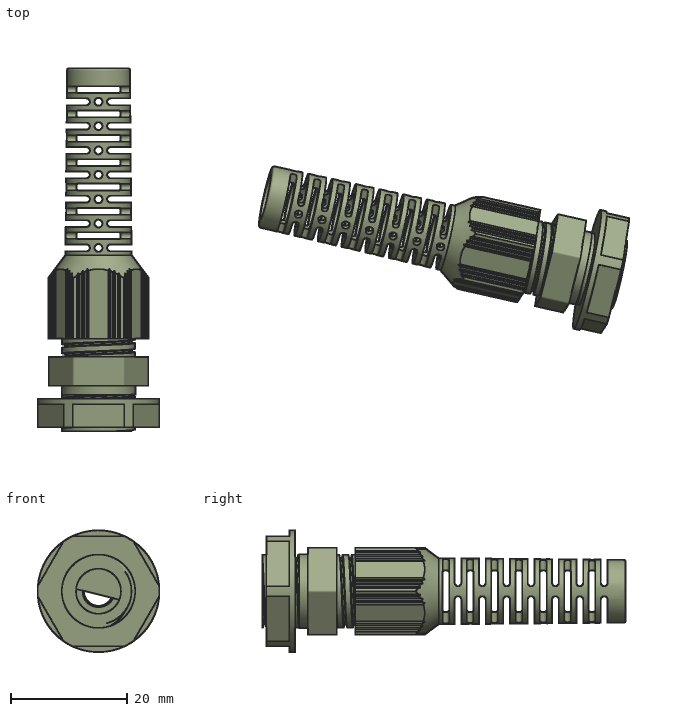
import cadquery as cq
import math


locknut_start = 0.7
locknut_flange_start = 4.6
locknut_end = 5.6
collar_start = 6.3
body_hex_start = 7.8
body_hex_end = 12.8
cap_start = 15.9
cap_end = 30.3
total_length = 62.4

bore_radius = 3.9
flange_radius = 10.5
collar_radius = 6.35
sleeve_base_diameter = 11.4
sleeve_base_radius = sleeve_base_diameter / 2
sleeve_tip_radius = 5.4
sleeve_tip_fillet = 0.4

joint_overlap = 0.1

locknut_flats = 19.0
grip_flats = 15.0
body_corner_fillet = 0.45
hex_sides = 6

thread_root_radius = 5.7
thread_crest_radius = 6.3
thread_pitch = 1.55
thread_root_width = 1.3
thread_crest_width = 0.95
entry_thread_start = -thread_pitch / 2
entry_thread_turns = 5
cap_thread_start = 11.55
cap_thread_turns = 3.5

cap_cone_height = 3.95
grooves_per_side = 3
groove_pitch = 0.8
groove_width = 0.45
groove_depth = 0.25

slot_rows = 14
slot_first = 31.5
slot_last = 58.7
slot_pitch = (slot_last - slot_first) / (slot_rows - 1)
slot_width = 1.1
upright_post_half_width = 1.5
side_post_half_width = 0.9
post_hole_diameter = 1.3

seal_start = 17.5
shutter_thickness = 0.6
lip_thickness = 1.25
lip_hole_radius = 2.5
lip_chamfer = 0.25
shutter_edge_offset = 0.55
shutter_tilt = 14.0

cap_corner_radius = grip_flats / math.sqrt(3)


def axial_plane(y):
    """Plane square to the axis at station y, with local x along X and local y along -Z."""
    return cq.Workplane(cq.Plane(origin=(0, y, 0), xDir=(1, 0, 0), normal=(0, 1, 0)))


def cylinder(radius, start, end):
    return axial_plane(start).circle(radius).extrude(end - start)


def hexagon(across_flats, start, end):
    """Hexagonal prism with corners on the X axis and flats square to Z."""
    across_corners = 2 * across_flats / math.sqrt(3)
    return axial_plane(start).polygon(hex_sides, across_corners).extrude(end - start)


def thread_ridge(start, turns):
    """Right-handed trapezoidal ridge whose middle crosses the +X side at station start."""
    height = turns * thread_pitch
    helix = cq.Workplane(obj=cq.Wire.makeHelix(thread_pitch, height, thread_root_radius))
    base_radius = thread_root_radius - joint_overlap
    profile = cq.Workplane("XZ").polyline([
        (base_radius, -thread_root_width / 2),
        (thread_crest_radius, -thread_crest_width / 2),
        (thread_crest_radius, thread_crest_width / 2),
        (base_radius, thread_root_width / 2),
    ]).close()
    ridge = profile.sweep(helix, isFrenet=True)
    return ridge.rotate((0, 0, 0), (1, 0, 0), -90).translate((0, start, 0))


def make_locknut():
    nut = hexagon(locknut_flats, locknut_start, locknut_flange_start)
    nut = nut.intersect(cylinder(flange_radius, locknut_start, locknut_flange_start))
    return nut.union(cylinder(flange_radius, locknut_flange_start, locknut_end))


def make_body():
    body = cylinder(thread_root_radius, 0, cap_start)
    entry_ridge = thread_ridge(entry_thread_start, entry_thread_turns)
    body = body.union(entry_ridge.intersect(cylinder(flange_radius, 0, body_hex_start)))
    body = body.union(cylinder(collar_radius, collar_start, body_hex_start))
    body_hex = hexagon(grip_flats, body_hex_start, body_hex_end)
    body = body.union(body_hex.edges("|Y").fillet(body_corner_fillet))
    cap_ridge = thread_ridge(cap_thread_start, cap_thread_turns)
    return body.union(cap_ridge.intersect(cylinder(flange_radius, body_hex_end, cap_start)))


def make_cap():
    envelope = cq.Workplane("XY").polyline([
        (0, cap_start),
        (cap_corner_radius, cap_start),
        (cap_corner_radius, cap_end - cap_cone_height),
        (sleeve_base_radius, cap_end),
        (0, cap_end),
    ]).close().revolve(360, (0, 0, 0), (0, 1, 0))
    cap = hexagon(grip_flats, cap_start, cap_end).intersect(envelope)
    half_flat = grip_flats / 2
    half_side = cap_corner_radius / 2
    grooves = axial_plane(cap_start)
    for index in range(1, grooves_per_side + 1):
        for side in (-1, 1):
            middle = side * (half_side - index * groove_pitch)
            grooves = grooves.polyline([
                (middle - groove_width / 2, half_flat),
                (middle, half_flat - groove_depth),
                (middle + groove_width / 2, half_flat),
            ]).close()
    grooves = grooves.extrude(cap_end - cap_start)
    for face in range(hex_sides):
        cap = cap.cut(grooves.rotate((0, 0, 0), (0, 1, 0), face * 360 / hex_sides))
    return cap


def slot_pair(y, post_half_width):
    """Two slots along Z, open at +X and -X, with round ends beside a middle post."""
    reach = 2 * sleeve_base_radius
    centre = post_half_width + reach / 2
    return (
        cq.Workplane("XY").center(0, y)
        .pushPoints([(-centre, 0), (centre, 0)])
        .slot2D(reach, slot_width)
        .extrude(reach, both=True)
    )


def make_sleeve():
    sleeve = cq.Workplane("XY").polyline([
        (0, cap_end),
        (sleeve_base_radius, cap_end),
        (sleeve_tip_radius, total_length),
        (0, total_length),
    ]).close().revolve(360, (0, 0, 0), (0, 1, 0))
    sleeve = sleeve.faces(">Y").edges().fillet(sleeve_tip_fillet)
    return sleeve.cut(cylinder(bore_radius, cap_end, total_length))


def cut_sleeve_slots(part):
    for row in range(slot_rows):
        y = slot_first + row * slot_pitch
        if row % 2 == 0:
            part = part.cut(slot_pair(y, upright_post_half_width))
            post_hole = cq.Workplane("XY").center(0, y).circle(post_hole_diameter / 2)
            part = part.cut(post_hole.extrude(sleeve_base_radius, both=True))
        else:
            side_slots = slot_pair(y, side_post_half_width)
            part = part.cut(side_slots.rotate((0, 0, 0), (0, 1, 0), 90))
    return part


def make_seal():
    """Half shutter with a straight tilted edge, backed by a lip ring."""
    lip_start = seal_start + shutter_thickness
    lip_end = lip_start + lip_thickness
    seal_radius = bore_radius + joint_overlap
    lip = cylinder(seal_radius, lip_start, lip_end).cut(cylinder(lip_hole_radius, lip_start, lip_end))
    lip = lip.faces("<Y").edges("%CIRCLE").edges(cq.selectors.RadiusNthSelector(0)).chamfer(lip_chamfer)
    opening_width = 4 * seal_radius
    opening_depth = 2 * seal_radius
    opening = axial_plane(seal_start).center(0, shutter_edge_offset + opening_depth / 2)
    opening = opening.rect(opening_width, opening_depth).extrude(shutter_thickness)
    opening = opening.rotate((0, 0, 0), (0, 1, 0), shutter_tilt)
    shutter = cylinder(seal_radius, seal_start, lip_start).cut(opening)
    return lip.union(shutter)


gland = make_locknut().union(make_body()).union(make_cap())
gland = gland.cut(cylinder(bore_radius, 0, cap_end))
gland = gland.union(make_sleeve())
gland = cut_sleeve_slots(gland)
result = gland.union(make_seal())